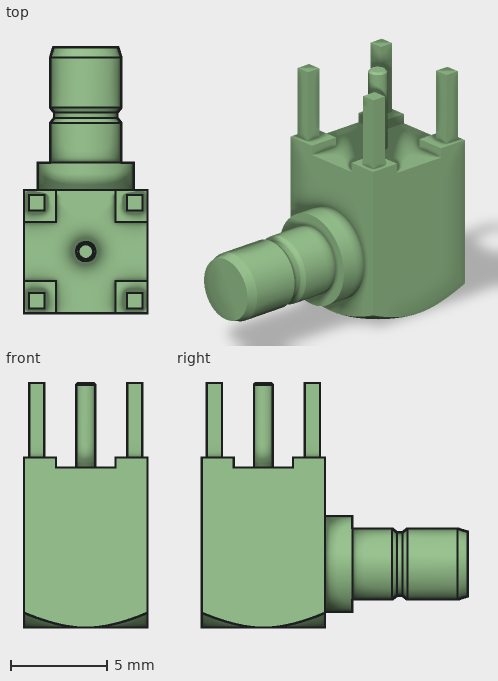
import cadquery as cq
import math

body_width = 6.4
body_height = 8.83
half_width = body_width / 2
bottom_slope_deg = 30.0

pad_size = 1.67
recess_depth = 0.52
recess_floor = body_height - recess_depth

overall_height = 12.7
leg_width = 0.8
leg_offset = 2.54
pin_diameter = 1.0
pin_chamfer = 0.11

overall_length = 13.8
barrel_axis_z = 3.3
barrel_tip = overall_length - body_width
flange_radius = 2.5
flange_length = 1.41
barrel_radius = 1.85
tip_radius = 1.68
tip_taper_length = 0.52
groove_radius = 1.65
groove_start = 3.46
groove_end = 4.26
groove_taper_length = 0.25


def revolve_profile(points):
    """Turn a (radius, height) profile around the Z axis."""
    return cq.Workplane("XZ").polyline(points).close().revolve(360, (0, 0, 0), (0, 1, 0))


def make_housing():
    block = cq.Workplane("XY").rect(body_width, body_width).extrude(body_height)

    outer_radius = body_width
    cone_rise = (outer_radius - half_width) * math.tan(math.radians(bottom_slope_deg))
    envelope = revolve_profile([
        (0, 0),
        (half_width, 0),
        (outer_radius, cone_rise),
        (outer_radius, body_height),
        (0, body_height),
    ])
    block = block.intersect(envelope)

    channel_width = body_width - 2 * pad_size
    for size_x, size_y in [(body_width, channel_width), (channel_width, body_width)]:
        channel = (
            cq.Workplane("XY")
            .workplane(offset=recess_floor)
            .rect(size_x, size_y)
            .extrude(recess_depth)
        )
        block = block.cut(channel)
    return block


def make_legs():
    return (
        cq.Workplane("XY")
        .workplane(offset=recess_floor)
        .rect(2 * leg_offset, 2 * leg_offset, forConstruction=True)
        .vertices()
        .rect(leg_width, leg_width)
        .extrude(overall_height - recess_floor)
    )


def make_centre_pin():
    root = recess_floor - recess_depth
    return (
        cq.Workplane("XY")
        .workplane(offset=root)
        .circle(pin_diameter / 2)
        .extrude(overall_height - root)
        .faces(">Z")
        .chamfer(pin_chamfer)
    )


def make_barrel():
    root = -half_width / 2
    barrel = revolve_profile([
        (0, root),
        (flange_radius, root),
        (flange_radius, flange_length),
        (barrel_radius, flange_length),
        (barrel_radius, groove_start),
        (groove_radius, groove_start + groove_taper_length),
        (groove_radius, groove_end - groove_taper_length),
        (barrel_radius, groove_end),
        (barrel_radius, barrel_tip - tip_taper_length),
        (tip_radius, barrel_tip),
        (0, barrel_tip),
    ])
    return barrel.rotate((0, 0, 0), (1, 0, 0), -90).translate((0, half_width, barrel_axis_z))


result = make_housing().union(make_legs()).union(make_centre_pin()).union(make_barrel())